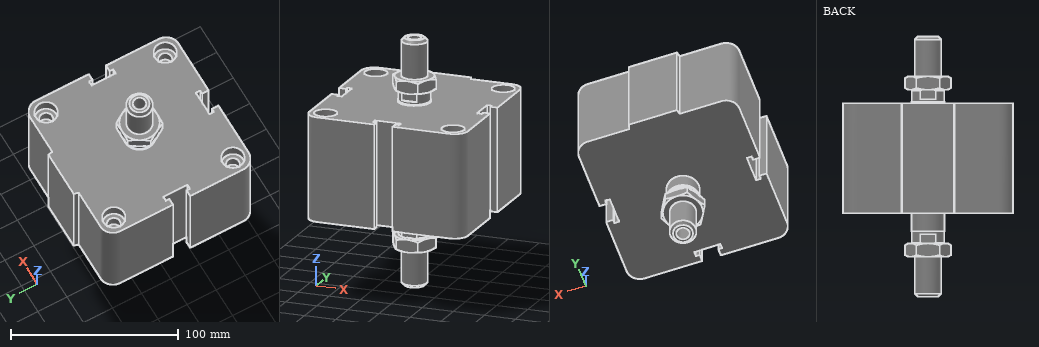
import cadquery as cq
import math

BODY_SIDE = 102.0
BODY_HEIGHT = 66.0
CORNER_RADIUS = 8.5
BODY_TOP = BODY_HEIGHT / 2
HALF_SIDE = BODY_SIDE / 2

RAIL_HEIGHT = 3.0
RAIL_BASE_WIDTH = 32.0
RAIL_TOP_WIDTH = 30.6

SLOT_NECK_WIDTH = 11.8
SLOT_NECK_DEPTH = 4.5
SLOT_HEAD_WIDTH = 16.6
SLOT_DEPTH = 7.5

SCREW_PITCH = 82.0
SCREW_BORE_DIAMETER = 14.0
SCREW_BORE_DEPTH = 8.5
SCREW_HOLE_DIAMETER = 8.38
SCREW_HOLE_DEPTH = BODY_HEIGHT / 4

ROD_DIAMETER = 20.0
ROD_BORE_DIAMETER = 8.0
ROD_TOP_EXPOSED = 0.7
ROD_BOTTOM_EXPOSED = 10.7
SHOULDER_DIAMETER = 19.5
SHOULDER_LENGTH = 7.3
SHOULDER_CHAMFER = 0.5
THREAD_DIAMETER = 16.0
THREAD_LENGTH = 32.0
THREAD_CHAMFER = 2.0
FLAT_WIDTH = 17.0
FLAT_LENGTH = 5.6
ROD_TOP = BODY_TOP + ROD_TOP_EXPOSED
ROD_BOTTOM = -BODY_TOP - ROD_BOTTOM_EXPOSED
ROD_LENGTH = ROD_TOP - ROD_BOTTOM

NUT_ACROSS_FLATS = 24.0
NUT_THICKNESS = 8.0
NUT_CHAMFER_ANGLE = 30.0


def t_slot(angle):
    """T-slot cutter along Z, opening in the face turned by angle from -Y."""
    neck = cq.Workplane("XY").box(SLOT_NECK_WIDTH, SLOT_DEPTH, BODY_HEIGHT)
    neck = neck.translate((0, -HALF_SIDE + SLOT_DEPTH / 2, 0))
    head_depth = SLOT_DEPTH - SLOT_NECK_DEPTH
    head = cq.Workplane("XY").box(SLOT_HEAD_WIDTH, head_depth, BODY_HEIGHT)
    head = head.translate((0, -HALF_SIDE + SLOT_NECK_DEPTH + head_depth / 2, 0))
    return neck.union(head).rotate((0, 0, 0), (0, 0, 1), angle)


def make_block():
    """Housing block with rounded corners, rail and T-slots, before the holes."""
    block = cq.Workplane("XY").box(BODY_SIDE, BODY_SIDE, BODY_HEIGHT)
    block = block.edges("|Z").fillet(CORNER_RADIUS)
    rail = (
        cq.Workplane("XY")
        .workplane(offset=-BODY_TOP)
        .moveTo(-RAIL_BASE_WIDTH / 2, 0)
        .lineTo(-RAIL_BASE_WIDTH / 2, HALF_SIDE)
        .lineTo(-RAIL_TOP_WIDTH / 2, HALF_SIDE + RAIL_HEIGHT)
        .lineTo(RAIL_TOP_WIDTH / 2, HALF_SIDE + RAIL_HEIGHT)
        .lineTo(RAIL_BASE_WIDTH / 2, HALF_SIDE)
        .lineTo(RAIL_BASE_WIDTH / 2, 0)
        .close()
        .extrude(BODY_HEIGHT)
    )
    block = block.union(rail)
    for angle in (0, 90, -90):
        block = block.cut(t_slot(angle))
    return block


def make_housing():
    """Housing block with its corner screw holes and the rod passage."""
    housing = (
        make_block()
        .faces(">Z")
        .workplane(origin=(0, 0, BODY_TOP))
        .rect(SCREW_PITCH, SCREW_PITCH, forConstruction=True)
        .vertices()
        .cboreHole(SCREW_HOLE_DIAMETER, SCREW_BORE_DIAMETER, SCREW_BORE_DEPTH, SCREW_HOLE_DEPTH)
    )
    rod_passage = cq.Workplane("XY").circle(ROD_DIAMETER / 2).extrude(BODY_TOP, both=True)
    return housing.cut(rod_passage)


def rod_end():
    """Rod end standing on Z = 0: shoulder with two wrench flats, then the thread."""
    shoulder = (
        cq.Workplane("XY")
        .circle(SHOULDER_DIAMETER / 2)
        .extrude(SHOULDER_LENGTH)
        .faces(">Z")
        .chamfer(SHOULDER_CHAMFER)
    )
    flats = (
        cq.Workplane("XY")
        .workplane(offset=SHOULDER_LENGTH - FLAT_LENGTH)
        .rect(SHOULDER_DIAMETER, SHOULDER_DIAMETER)
        .rect(SHOULDER_DIAMETER, FLAT_WIDTH)
        .extrude(FLAT_LENGTH)
    )
    thread = (
        cq.Workplane("XY")
        .workplane(offset=SHOULDER_LENGTH)
        .circle(THREAD_DIAMETER / 2)
        .extrude(THREAD_LENGTH)
        .faces(">Z")
        .chamfer(THREAD_CHAMFER)
    )
    return shoulder.cut(flats).union(thread)


def at_top(shape):
    """Place an end detail on the upper end of the full-diameter rod."""
    return shape.translate((0, 0, ROD_TOP))


def at_bottom(shape):
    """Place an end detail, turned upside down, on the lower end of the rod."""
    return shape.rotate((0, 0, 0), (1, 0, 0), 180).translate((0, 0, ROD_BOTTOM))


def make_rod():
    """Hollow rod with the same shoulder and thread at both ends."""
    rod = (
        cq.Workplane("XY")
        .workplane(offset=ROD_BOTTOM)
        .circle(ROD_DIAMETER / 2)
        .extrude(ROD_LENGTH)
    )
    rod = rod.union(at_top(rod_end())).union(at_bottom(rod_end()))
    end_length = SHOULDER_LENGTH + THREAD_LENGTH
    bore = (
        cq.Workplane("XY")
        .workplane(offset=ROD_BOTTOM - end_length)
        .circle(ROD_BORE_DIAMETER / 2)
        .extrude(ROD_LENGTH + 2 * end_length)
    )
    return rod.cut(bore)


def make_nut():
    """Hexagon nut seated on the shoulder of a rod end, corners chamfered on both faces."""
    across_corners = NUT_ACROSS_FLATS / math.cos(math.pi / 6)
    corner_radius = across_corners / 2
    face_radius = NUT_ACROSS_FLATS / 2
    chamfer_height = (corner_radius - face_radius) * math.tan(math.radians(NUT_CHAMFER_ANGLE))
    hexagon = cq.Workplane("XY").polygon(6, across_corners).extrude(NUT_THICKNESS)
    envelope = (
        cq.Workplane("XZ")
        .lineTo(face_radius, 0)
        .lineTo(corner_radius, chamfer_height)
        .lineTo(corner_radius, NUT_THICKNESS - chamfer_height)
        .lineTo(face_radius, NUT_THICKNESS)
        .lineTo(0, NUT_THICKNESS)
        .close()
        .revolve(360, (0, 0, 0), (0, 1, 0))
    )
    hole = cq.Workplane("XY").circle(THREAD_DIAMETER / 2).extrude(NUT_THICKNESS)
    return hexagon.intersect(envelope).cut(hole).translate((0, 0, SHOULDER_LENGTH))


housing = make_housing()
rod = make_rod()
nuts = [place(make_nut()) for place in (at_top, at_bottom)]

result = cq.Compound.makeCompound([housing.val(), rod.val(), *[nut.val() for nut in nuts]])